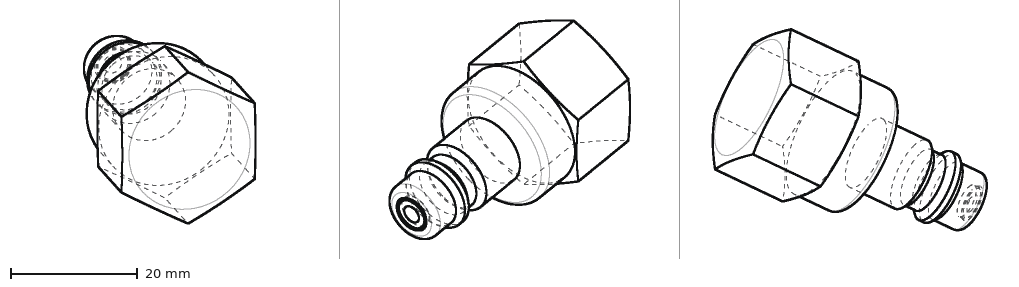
import cadquery as cq
import math

length = 42.0
nose_radius = 10.0 / 2
nose_rounding = 1.0
ridge_radius = 12.0 / 2
ridge_start = 5.0
ridge_crest_start = 6.0
ridge_crest_end = 7.0
groove_radius = 9.75 / 2
groove_start = ridge_crest_end + ridge_radius - groove_radius
groove_end = 10.35
shank_start = groove_end + ridge_radius - groove_radius
shank_end = 20.0

collar_radius = 21.5 / 2
collar_rounding = 1.0
collar_face_angle = 8.0

hex_start = 28.0
hex_across_flats = 22.0
hex_corner_diameter = hex_across_flats / math.cos(math.radians(30))
hex_chamfer_angle = 15.0
hex_end_radius = 10.0

bore_mouth_radius = 6.0 / 2
bore_radius = 5.6 / 2
tip_radius = 5.45 / 2
tip_face_radius = 5.12 / 2
gap_depth = 1.0
dimple_radius = 3.0 / 2
dimple_cone_angle = 118.0
dimple_depth = dimple_radius / math.tan(math.radians(dimple_cone_angle / 2))


def revolve_about_x(profile):
    return profile.close().revolve(360, (0, 0, 0), (1, 0, 0))


def make_plug():
    profile = cq.Workplane("XY").polyline([
        (0, 0),
        (0, nose_radius),
        (ridge_start, nose_radius),
        (ridge_crest_start, ridge_radius),
        (ridge_crest_end, ridge_radius),
        (groove_start, groove_radius),
        (groove_end, groove_radius),
        (shank_start, ridge_radius),
        (shank_end, ridge_radius),
        (shank_end, 0),
    ])
    return revolve_about_x(profile).faces("<X").edges().fillet(nose_rounding)


def make_collar():
    face_rise = (collar_radius - ridge_radius) * math.tan(math.radians(collar_face_angle))
    rim_start = shank_end + face_rise
    profile = cq.Workplane("XY").polyline([
        (shank_end, 0),
        (shank_end, ridge_radius),
        (rim_start, collar_radius),
        (hex_start, collar_radius),
        (hex_start, 0),
    ])
    collar = revolve_about_x(profile)
    rim_edge = collar.edges("%CIRCLE").filter(lambda edge: math.isclose(edge.startPoint().x, rim_start))
    return rim_edge.fillet(collar_rounding)


def make_hexagon():
    corner_radius = hex_corner_diameter / 2
    chamfer_slope = math.tan(math.radians(hex_chamfer_angle))
    front_chamfer = (corner_radius - collar_radius) * chamfer_slope
    rear_chamfer = (corner_radius - hex_end_radius) * chamfer_slope
    prism = (
        cq.Workplane("YZ", origin=(hex_start, 0, 0))
        .transformed(rotate=(0, 0, 90))
        .polygon(6, hex_corner_diameter)
        .extrude(length - hex_start)
    )
    envelope = cq.Workplane("XY").polyline([
        (hex_start, 0),
        (hex_start, collar_radius),
        (hex_start + front_chamfer, corner_radius),
        (length - rear_chamfer, corner_radius),
        (length, hex_end_radius),
        (length, 0),
    ])
    return prism.intersect(revolve_about_x(envelope))


def make_tip_gap():
    profile = cq.Workplane("XY").polyline([
        (0, tip_face_radius),
        (tip_radius - tip_face_radius, tip_radius),
        (gap_depth, tip_radius),
        (gap_depth, bore_radius),
        (bore_mouth_radius - bore_radius, bore_radius),
        (0, bore_mouth_radius),
    ])
    return revolve_about_x(profile)


def make_dimple():
    profile = cq.Workplane("XY").polyline([(0, 0), (0, dimple_radius), (dimple_depth, 0)])
    return revolve_about_x(profile)


body = make_plug().union(make_collar()).union(make_hexagon())
result = body.cut(make_tip_gap()).cut(make_dimple())